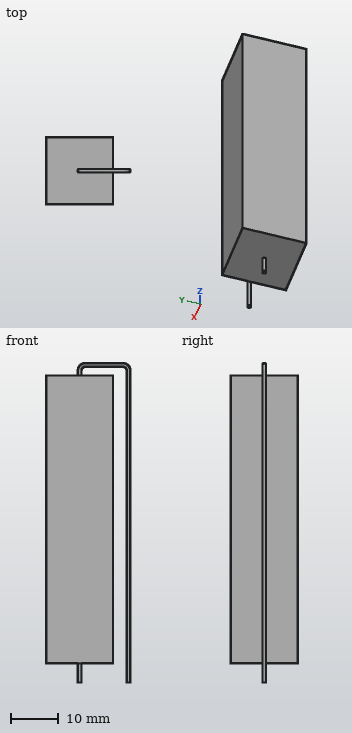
import cadquery as cq

body_width = 14.0
body_height = 60.0

wire_diameter = 0.8
lead_length = 4.0
total_height = 66.6
lead_spacing = 10.2
bend_radius = 1.2

wire_radius = wire_diameter / 2
lead_bottom = -lead_length
wire_top = lead_bottom + total_height - wire_radius
bend_start = wire_top - bend_radius


def make_body():
    return cq.Workplane("XY").rect(body_width, body_width).extrude(body_height)


def make_wire():
    """Sweep one wire up through the body, across and down to the level of the lower lead."""
    path = (
        cq.Workplane("XZ")
        .moveTo(0, lead_bottom)
        .lineTo(0, bend_start)
        .radiusArc((bend_radius, wire_top), bend_radius)
        .lineTo(lead_spacing - bend_radius, wire_top)
        .radiusArc((lead_spacing, bend_start), bend_radius)
        .lineTo(lead_spacing, lead_bottom)
    )
    return cq.Workplane("XY", origin=(0, 0, lead_bottom)).circle(wire_radius).sweep(path)


result = make_body().union(make_wire())